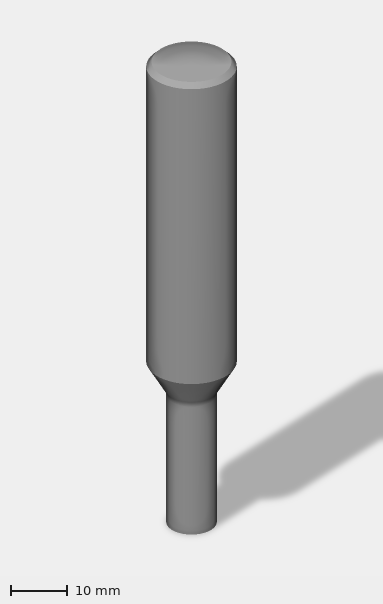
import cadquery as cq
import math

total_length = 94.25
body_diameter = 16.0
pin_diameter = 9.0
body_length = 61.4
top_chamfer = 0.9
taper_half_angle = math.radians(30)
fillet_radius = 2.0

body_radius = body_diameter / 2
pin_radius = pin_diameter / 2
body_bottom = total_length - body_length

fillet_center_radius = pin_radius + fillet_radius


def fillet_radius_at(angle):
    """Distance from the part axis to the fillet surface, angle measured from the horizontal."""
    return fillet_center_radius - fillet_radius * math.cos(angle)


taper_end_radius = fillet_radius_at(taper_half_angle)
taper_height = (body_radius - taper_end_radius) / math.tan(taper_half_angle)
taper_bottom = body_bottom - taper_height

pin_top = taper_bottom - fillet_radius * math.sin(taper_half_angle)
arc_middle_angle = taper_half_angle / 2
arc_middle = (
    fillet_radius_at(arc_middle_angle),
    pin_top + fillet_radius * math.sin(arc_middle_angle),
)

profile = (
    cq.Workplane("XZ")
    .lineTo(pin_radius, 0)
    .lineTo(pin_radius, pin_top)
    .threePointArc(arc_middle, (taper_end_radius, taper_bottom))
    .lineTo(body_radius, body_bottom)
    .lineTo(body_radius, total_length - top_chamfer)
    .lineTo(body_radius - top_chamfer, total_length)
    .lineTo(0, total_length)
    .close()
)

result = profile.revolve(360, (0, 0, 0), (0, 1, 0)).translate((0, 0, -total_length / 2))